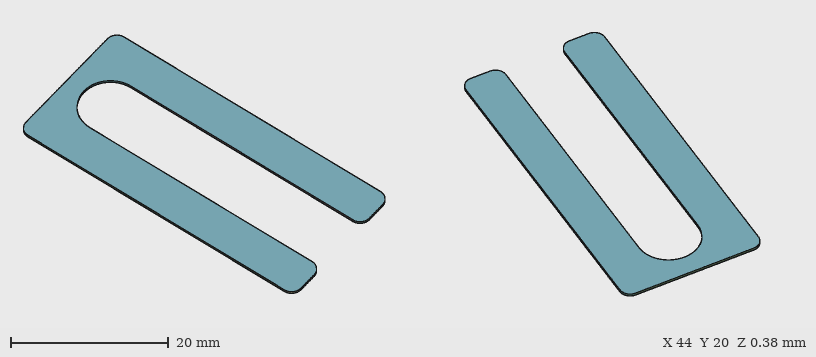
import cadquery as cq

length = 44.0
width = 20.0
thickness = 0.38
slot_width = 8.5
web = 2.75
corner_radius = 1.5

slot_radius = slot_width / 2
closed_x = -length / 2
open_x = length / 2
slot_center_x = closed_x + web + slot_radius

outline = (
    cq.Workplane("XY")
    .moveTo(closed_x, -width / 2)
    .lineTo(open_x, -width / 2)
    .lineTo(open_x, -slot_radius)
    .lineTo(slot_center_x, -slot_radius)
    .threePointArc((closed_x + web, 0), (slot_center_x, slot_radius))
    .lineTo(open_x, slot_radius)
    .lineTo(open_x, width / 2)
    .lineTo(closed_x, width / 2)
    .close()
)
plate = outline.extrude(thickness)

result = (
    plate.faces("<X or >X")
    .edges("|Z")
    .fillet(corner_radius)
)